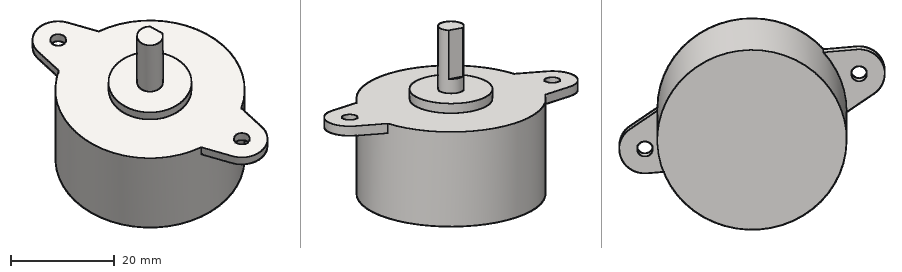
import cadquery as cq
import math

body_diameter = 36.5
body_height = 19.5

boss_diameter = 16.0
boss_height = 2.0

shaft_diameter = 5.0
total_height = 34.5
flat_offset = 2.0
flat_length = 10.0

ear_span = 53.9
ear_thickness = 2.0
ear_hole_spacing = 43.95
ear_hole_diameter = 3.0
ear_root_half_width = 6.45

body_radius = body_diameter / 2
shaft_radius = shaft_diameter / 2
boss_top = body_height + boss_height
ear_hole_x = ear_hole_spacing / 2
ear_tip_radius = ear_span / 2 - ear_hole_x


def make_cylinder(diameter, bottom, top):
    return cq.Workplane("XY").workplane(offset=bottom).circle(diameter / 2).extrude(top - bottom)


def make_shaft():
    """Round shaft with a D-shaped upper length."""
    shaft = make_cylinder(shaft_diameter, boss_top, total_height)
    flat_cut = (
        cq.Workplane("XY")
        .workplane(offset=total_height - flat_length)
        .center(0, flat_offset + shaft_radius / 2)
        .rect(shaft_diameter, shaft_radius)
        .extrude(flat_length)
    )
    return shaft.cut(flat_cut)


def make_ear():
    """Ear on the +X side: straight flanks tangent to a tip concentric with its hole."""
    root_x = math.sqrt(body_radius**2 - ear_root_half_width**2)
    root_to_hole = math.hypot(ear_hole_x - root_x, ear_root_half_width)
    hole_to_root_angle = math.atan2(ear_root_half_width, root_x - ear_hole_x)
    tangent_angle = hole_to_root_angle - math.acos(ear_tip_radius / root_to_hole)
    tangent_x = ear_hole_x + ear_tip_radius * math.cos(tangent_angle)
    tangent_y = ear_tip_radius * math.sin(tangent_angle)
    return (
        cq.Workplane("XY")
        .workplane(offset=body_height - ear_thickness)
        .moveTo(0, -ear_root_half_width)
        .lineTo(root_x, -ear_root_half_width)
        .lineTo(tangent_x, -tangent_y)
        .threePointArc((ear_span / 2, 0), (tangent_x, tangent_y))
        .lineTo(root_x, ear_root_half_width)
        .lineTo(0, ear_root_half_width)
        .close()
        .moveTo(ear_hole_x, 0)
        .circle(ear_hole_diameter / 2)
        .extrude(ear_thickness)
    )


result = make_cylinder(body_diameter, 0, body_height)
for ear_angle in (0, 180):
    result = result.union(make_ear().rotate((0, 0, 0), (0, 0, 1), ear_angle))
result = result.union(make_cylinder(boss_diameter, body_height, boss_top))
result = result.union(make_shaft())
result = result.clean()